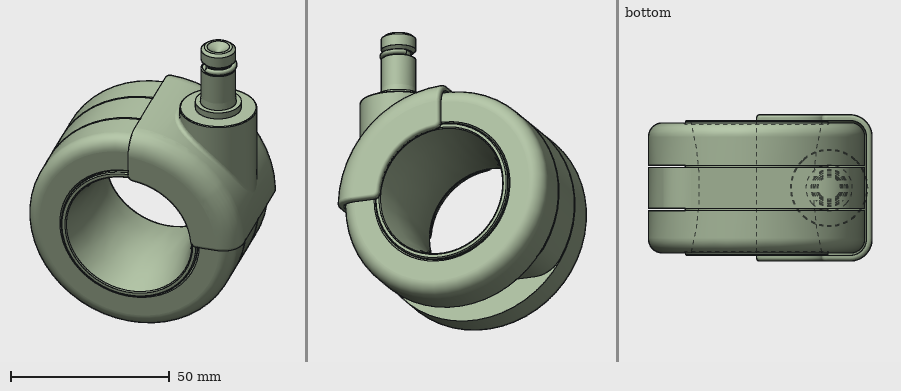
import cadquery as cq

WHEEL_RADIUS = 34.1
WHEEL_SIDE_Y = 20.5
WHEEL_INNER_Y = 7.1
WHEEL_ROUND = 4.5
WHEEL_BORE_CHAMFER = 0.6

HUB_RADIUS = 44.9 / 2
HUB_END_Y = 21.3
HUB_RIM_CHAMFER = 0.4
BORE_END_RADIUS = 20.7
BORE_MIDDLE_RADIUS = 18.0

SPINE_HALF_WIDTH = 6.5
SPINE_CORNER_RADIUS = 10.1

HOOD_RADIUS = 36.5
HOOD_HALF_WIDTH = 23.1
HOOD_ROUND = 7.0
HOOD_WALL = HOOD_HALF_WIDTH - HUB_END_Y
HOOD_CORNER_RADIUS = 1.9
HOOD_EDGE_ROUND = 1.0

STEM_X = 22.9
SOCKET_RADIUS = 24.3 / 2
SOCKET_TOP_Z = 38.8
SOCKET_CHAMFER = 0.3
SOCKET_FILLET = 1.1

STEM_TOP_Z = 95 - WHEEL_RADIUS
STEM_RADIUS = 10.9 / 2
COLLAR_RADIUS = 14.5 / 2
COLLAR_TOP_Z = 40.9
FLARE_RADIUS = 5.7
FLARE_TOP_Z = 43.2
NECK_RADIUS = 7.8 / 2
NECK_BOTTOM_Z = 53.5
SHOULDER_CHAMFER_WIDTH = (10.9 - 10.0) / 2
SHOULDER_CHAMFER_HEIGHT = 0.3
HEAD_BOTTOM_Z = 55.4
HEAD_CHAMFER_WIDTH = 1.0
HEAD_TOP_CHAMFER_HEIGHT = 0.9
HEAD_BOTTOM_CHAMFER_HEIGHT = 1.0
CENTRE_RADIUS = 3.5
CENTRE_DEPTH = 2.0

RING_RADIUS = 5.0
RING_WIRE_RADIUS = 0.9
RING_START_ANGLE = 241
RING_SPAN_ANGLE = 256


def revolve_about_y(profile):
    """Revolve an (x, y) profile a full turn about the Y axis."""
    return profile.revolve(360, (0, 0, 0), (0, 1, 0))


def rounded_disc(radius, half_width, rim_round):
    """A disc about the Y axis with both rims rounded."""
    disc = cq.Workplane("XZ").circle(radius).extrude(half_width, both=True)
    return disc.edges().fillet(rim_round)


def make_wheel():
    """The wheel on the +Y side, with a rounded tread shoulder and a chamfered bore edge."""
    blank = cq.Workplane("XZ", origin=(0, WHEEL_SIDE_Y, 0)).circle(WHEEL_RADIUS).circle(HUB_RADIUS)
    wheel = blank.extrude(WHEEL_SIDE_Y - WHEEL_INNER_Y)
    tread_edge = wheel.faces(">Y").edges(cq.selectors.RadiusNthSelector(1))
    wheel = tread_edge.fillet(WHEEL_ROUND)
    bore_edge = wheel.faces(">Y").edges(cq.selectors.RadiusNthSelector(0))
    return bore_edge.chamfer(WHEEL_BORE_CHAMFER)


def make_hub():
    """The solid hub drum; its bore is cut last."""
    drum = cq.Workplane("XZ").circle(HUB_RADIUS).extrude(HUB_END_Y, both=True)
    return drum.edges().chamfer(HUB_RIM_CHAMFER)


def make_bore():
    """A bore whose wall curves smoothly inwards to the middle, with a chamfer at each end."""
    wall_end_y = HUB_END_Y - HUB_RIM_CHAMFER
    mouth_radius = BORE_END_RADIUS + HUB_RIM_CHAMFER
    profile = (
        cq.Workplane("XY")
        .moveTo(0, -HUB_END_Y)
        .lineTo(mouth_radius, -HUB_END_Y)
        .lineTo(BORE_END_RADIUS, -wall_end_y)
        .threePointArc((BORE_MIDDLE_RADIUS, 0), (BORE_END_RADIUS, wall_end_y))
        .lineTo(mouth_radius, HUB_END_Y)
        .lineTo(0, HUB_END_Y)
        .close()
    )
    return revolve_about_y(profile)


def make_spine():
    """A disc cut flat level with the bottom of the hub, with rounded corners."""
    disc = cq.Workplane("XZ").circle(WHEEL_RADIUS).extrude(SPINE_HALF_WIDTH, both=True)
    box_height = WHEEL_RADIUS + HUB_RADIUS
    keep = cq.Workplane("XY", origin=(0, 0, -HUB_RADIUS)).box(
        2 * WHEEL_RADIUS, 2 * SPINE_HALF_WIDTH, box_height, centered=(True, True, False)
    )
    return disc.intersect(keep).edges("|Y").edges("<Z").fillet(SPINE_CORNER_RADIUS)


def make_hood():
    """The rounded quarter shell before the wheel cavity is cut."""
    hood = rounded_disc(HOOD_RADIUS, HOOD_HALF_WIDTH, HOOD_ROUND)
    quarter_outline = cq.Workplane("XZ").rect(HOOD_RADIUS, HOOD_RADIUS, centered=False)
    quarter = quarter_outline.extrude(HOOD_HALF_WIDTH, both=True)
    opening = cq.Workplane("XZ").circle(BORE_END_RADIUS).extrude(HOOD_HALF_WIDTH, both=True)
    hood = hood.intersect(quarter).cut(opening)
    inner_reach = (BORE_END_RADIUS + HOOD_RADIUS) / 2
    inner_zone = cq.selectors.BoxSelector(
        (-inner_reach, -HOOD_HALF_WIDTH, -inner_reach), (inner_reach, HOOD_HALF_WIDTH, inner_reach)
    )
    hood = hood.edges("|Y").edges(inner_zone).fillet(HOOD_CORNER_RADIUS)
    return hood.faces("<X").edges("not |Y").fillet(HOOD_EDGE_ROUND)


def make_wheel_cavity():
    """The space inside the hood that clears the wheels and reaches the hub ends."""
    return rounded_disc(HOOD_RADIUS - HOOD_WALL, HUB_END_Y, HOOD_ROUND - HOOD_WALL)


def make_socket():
    """The upright cylinder under the stem, from the wheel axis level to its top face."""
    socket = cq.Workplane("XY", origin=(STEM_X, 0, 0)).circle(SOCKET_RADIUS).extrude(SOCKET_TOP_Z)
    return socket.faces(">Z").chamfer(SOCKET_CHAMFER)


def make_stem():
    """The turned stem with its collar, flare, neck, head and centre recess."""
    head_end_radius = STEM_RADIUS - HEAD_CHAMFER_WIDTH
    half_profile = [
        (0, SOCKET_TOP_Z),
        (COLLAR_RADIUS, SOCKET_TOP_Z),
        (COLLAR_RADIUS, COLLAR_TOP_Z),
        (FLARE_RADIUS, COLLAR_TOP_Z),
        (STEM_RADIUS, FLARE_TOP_Z),
        (STEM_RADIUS, NECK_BOTTOM_Z - SHOULDER_CHAMFER_HEIGHT),
        (STEM_RADIUS - SHOULDER_CHAMFER_WIDTH, NECK_BOTTOM_Z),
        (NECK_RADIUS, NECK_BOTTOM_Z),
        (NECK_RADIUS, HEAD_BOTTOM_Z),
        (head_end_radius, HEAD_BOTTOM_Z),
        (STEM_RADIUS, HEAD_BOTTOM_Z + HEAD_BOTTOM_CHAMFER_HEIGHT),
        (STEM_RADIUS, STEM_TOP_Z - HEAD_TOP_CHAMFER_HEIGHT),
        (head_end_radius, STEM_TOP_Z),
        (CENTRE_RADIUS, STEM_TOP_Z),
        (0, STEM_TOP_Z - CENTRE_DEPTH),
    ]
    stem = cq.Workplane("XZ").polyline(half_profile).close().revolve(360, (0, 0, 0), (0, 1, 0))
    return stem.translate((STEM_X, 0, 0))


def make_caster():
    """The hood with its socket and stem, the hub, the spine and both wheels as one body."""
    shell = make_hood().union(make_socket())
    joint_zone = cq.selectors.BoxSelector(
        (STEM_X - SOCKET_RADIUS, -SOCKET_RADIUS, BORE_END_RADIUS),
        (STEM_X + SOCKET_RADIUS, SOCKET_RADIUS, HOOD_RADIUS),
    )
    shell = shell.edges(joint_zone).fillet(SOCKET_FILLET)
    shell = shell.cut(make_wheel_cavity())
    wheel = make_wheel()
    opposite_wheel = wheel.mirror("XZ")
    caster = shell.union(make_hub()).union(make_spine()).union(wheel).union(opposite_wheel)
    return caster.cut(make_bore()).union(make_stem())


def make_snap_ring():
    """An open round-wire ring that rests on the shoulder under the neck."""
    wire = cq.Workplane("XZ").center(RING_RADIUS, NECK_BOTTOM_Z + RING_WIRE_RADIUS).circle(RING_WIRE_RADIUS)
    ring = wire.revolve(RING_SPAN_ANGLE, (-RING_RADIUS, 0, 0), (-RING_RADIUS, 1, 0))
    return ring.rotate((0, 0, 0), (0, 0, 1), RING_START_ANGLE).translate((STEM_X, 0, 0))


caster = make_caster()
snap_ring = make_snap_ring()

result = cq.Compound.makeCompound([caster.val(), snap_ring.val()])